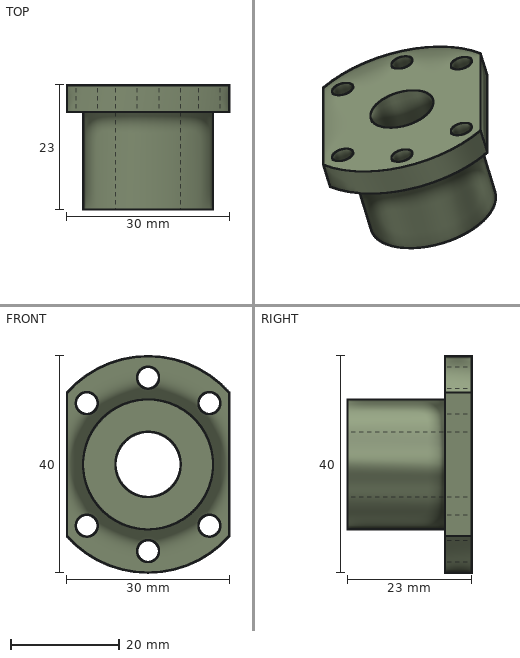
import cadquery as cq

flange_diameter = 40.0
flange_width = 30.0
flange_thickness = 5.0

barrel_diameter = 24.0
bore_diameter = 12.0
overall_length = 23.0
barrel_length = overall_length - flange_thickness

hole_diameter = 4.0
hole_circle_radius = 16.0
hole_angles = [45, 90, 135, 225, 270, 315]


def cylinder_along_y(diameter, start_y, length):
    """Solid cylinder on the Y axis, running from start_y toward +Y."""
    plane = cq.Workplane("XZ", origin=(0, start_y, 0))
    return plane.circle(diameter / 2).extrude(-length)


def make_flange():
    disc = cylinder_along_y(flange_diameter, 0, flange_thickness)
    between_flats = cq.Workplane("XY").box(flange_width, 2 * flange_thickness, flange_diameter)
    return disc.intersect(between_flats)


def make_mounting_holes():
    holes = cq.Workplane("XZ")
    for angle in hole_angles:
        hole = cylinder_along_y(hole_diameter, 0, flange_thickness)
        hole = hole.translate((hole_circle_radius, 0, 0))
        holes = holes.add(hole.rotate((0, 0, 0), (0, 1, 0), angle))
    return holes.combine()


barrel = cylinder_along_y(barrel_diameter, -barrel_length, barrel_length)
bore = cylinder_along_y(bore_diameter, -barrel_length, overall_length)

result = make_flange().union(barrel).cut(bore).cut(make_mounting_holes())